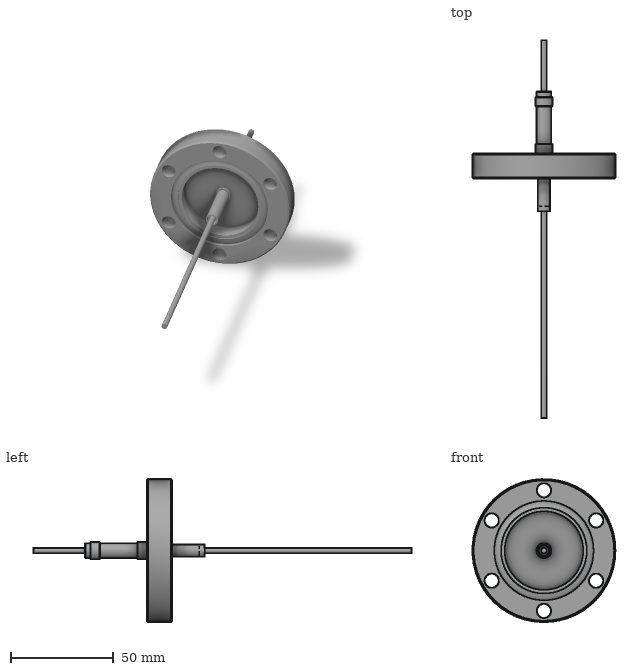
import cadquery as cq

total_length = 184.2
rear_y = total_length / 2

flange_radius = 69.8 / 2
flange_thickness = 12.5
flange_rear_y = rear_y - 55.0
flange_front_y = flange_rear_y - flange_thickness
flange_chamfer = 0.7

seat_radius = 48.5 / 2
knife_radius = 41.8 / 2
pocket_radius = 38.3 / 2
seat_depth = 1.7
knife_depth = 0.7
ledge_depth = 1.3
pocket_depth = 8.8

bolt_count = 6
first_bolt_angle = 90
bolt_circle_radius = 58.7 / 2
bolt_hole_diameter = 6.8

rod_diameter = 2.8
tube_diameter = 6.0
tube_bore_diameter = 5.0
tube_bore_depth = 2.5
body_diameter = 7.4
collar_diameter = 8.5
tube_front_y = rear_y - 83.5
body_rear_y = rear_y - 25.0
collar_rear_y = rear_y - 27.6
collar_length = 4.8
stem_chamfer = 0.4
weld_collar_rear_y = rear_y - 50.5
pocket_floor_y = flange_front_y + pocket_depth
body_projection = 1.3
body_front_y = pocket_floor_y - body_projection


def cylinder(diameter, front_y, back_y):
    """Round bar on the Y axis between two stations."""
    section = cq.Workplane("XZ", origin=(0, back_y, 0)).circle(diameter / 2)
    return section.extrude(back_y - front_y)


def flange():
    """Turned disc with the seal seat and pocket in its front face."""
    profile = [
        (0, flange_rear_y),
        (flange_radius - flange_chamfer, flange_rear_y),
        (flange_radius, flange_rear_y - flange_chamfer),
        (flange_radius, flange_front_y + flange_chamfer),
        (flange_radius - flange_chamfer, flange_front_y),
        (seat_radius, flange_front_y),
        (seat_radius, flange_front_y + seat_depth),
        (knife_radius, flange_front_y + knife_depth),
        (knife_radius, flange_front_y + ledge_depth),
        (pocket_radius, flange_front_y + ledge_depth),
        (pocket_radius, pocket_floor_y),
        (0, pocket_floor_y),
    ]
    disc = cq.Workplane("XY").polyline(profile).close().revolve(360, (0, 0, 0), (0, 1, 0))
    bolt_holes = (
        cq.Workplane("XZ", origin=(0, flange_rear_y, 0))
        .polarArray(bolt_circle_radius, first_bolt_angle, 360, bolt_count)
        .circle(bolt_hole_diameter / 2)
        .extrude(flange_thickness)
    )
    return disc.cut(bolt_holes)


def stem():
    """Conductor rod running through the tube, body and collars."""
    rod = cylinder(rod_diameter, rear_y - total_length, rear_y)
    tube = cylinder(tube_diameter, tube_front_y, pocket_floor_y)
    tube = tube.cut(cylinder(tube_bore_diameter, tube_front_y, tube_front_y + tube_bore_depth))
    body = cylinder(body_diameter, body_front_y, body_rear_y)
    body = body.edges(">Y").chamfer(stem_chamfer)
    end_collar = cylinder(collar_diameter, collar_rear_y - collar_length, collar_rear_y)
    end_collar = end_collar.edges().chamfer(stem_chamfer)
    weld_collar = cylinder(collar_diameter, flange_rear_y, weld_collar_rear_y)
    weld_collar = weld_collar.edges(">Y").chamfer(stem_chamfer)
    return rod.union(tube).union(body).union(end_collar).union(weld_collar)


result = flange().union(stem())